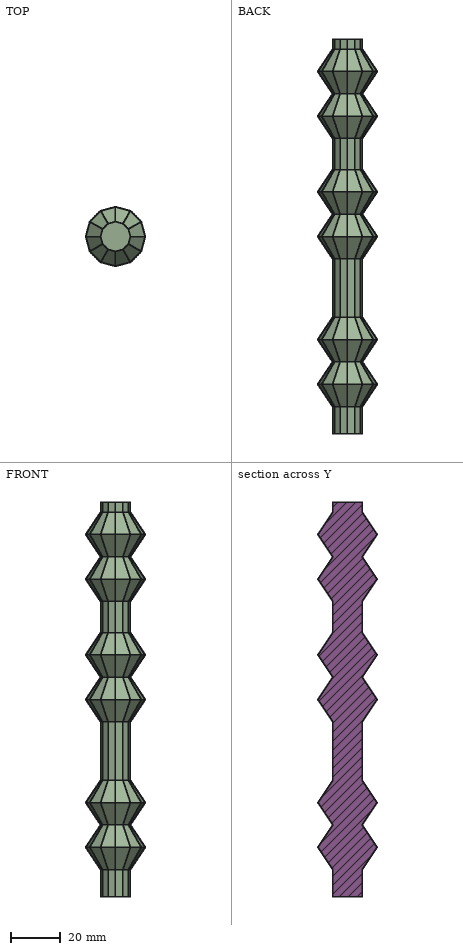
import cadquery as cq

SIDES = 12
NECK_DIAMETER = 12.0
BEAD_DIAMETER = 24.0
TOTAL_HEIGHT = 159.0
BEAD_HEIGHT = 18.0
BEADS_PER_GROUP = 2

GROUP_STARTS = (11.0, 70.5, 119.0)


def bead_sections(start):
    """Return (height, diameter) at the widest level and top of each bead in a group."""
    sections = []
    for index in range(BEADS_PER_GROUP):
        bead_base = start + index * BEAD_HEIGHT
        sections.append((bead_base + BEAD_HEIGHT / 2, BEAD_DIAMETER))
        sections.append((bead_base + BEAD_HEIGHT, NECK_DIAMETER))
    return sections


def spindle_sections():
    """Return every (height, diameter) level at which the taper changes, bottom to top."""
    sections = [(0.0, NECK_DIAMETER)]
    for start in GROUP_STARTS:
        sections.append((start, NECK_DIAMETER))
        sections.extend(bead_sections(start))
    sections.append((TOTAL_HEIGHT, NECK_DIAMETER))
    return sections


def section_wire(height, diameter):
    """Regular polygon at the given height, with one corner on the +X axis."""
    return cq.Workplane("XY", origin=(0, 0, height)).polygon(SIDES, diameter).wires().val()


def make_spindle():
    """Join the polygon levels with flat facets into one solid."""
    wires = [section_wire(height, diameter) for height, diameter in spindle_sections()]
    return cq.Workplane("XY").newObject([cq.Solid.makeLoft(wires, ruled=True)])


result = make_spindle()